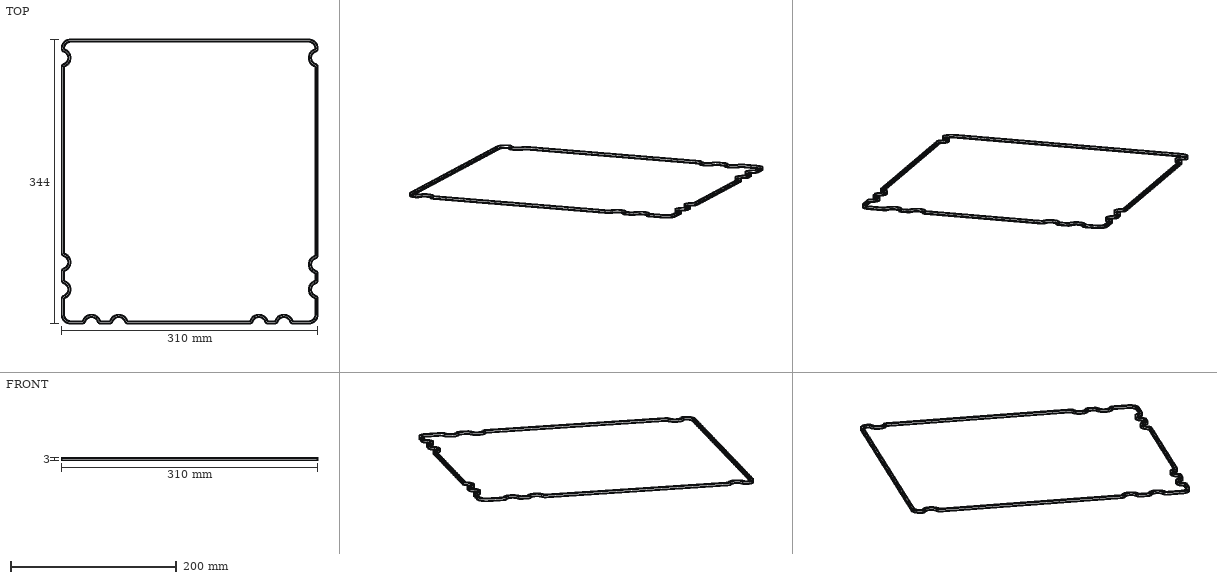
import cadquery as cq
import math

length_x = 310.0
length_y = 344.0
band = 3.0

corner_radius = 11.0
notch_radius = 8.0
mouth_radius = 4.0

top_notch = 22.5
bottom_notch = 41.3
front_left_notch = 36.0
front_right_notch = 41.0
left_pitch = 33.0
right_pitch = 30.3

mouth_half_width = math.sqrt((notch_radius + mouth_radius) ** 2 - mouth_radius**2)
join_share = notch_radius / (notch_radius + mouth_radius)
join_offset = mouth_half_width * join_share
join_depth = mouth_radius * join_share

lip_half_angle = math.acos(mouth_radius / (notch_radius + mouth_radius)) / 2
lip_offset = mouth_half_width - mouth_radius * math.sin(lip_half_angle)
lip_depth = mouth_radius * (1 - math.cos(lip_half_angle))

corner_inset = corner_radius * (1 - math.sqrt(0.5))


def add_side(outline, start, direction, side_length, notch_centres):
    """Draw one side counter-clockwise, with its notches and the corner that ends it."""
    dx, dy = direction

    def place(along, depth):
        return (start[0] + along * dx - depth * dy, start[1] + along * dy + depth * dx)

    for centre in notch_centres:
        outline = (
            outline.lineTo(*place(centre - mouth_half_width, 0))
            .threePointArc(place(centre - lip_offset, lip_depth), place(centre - join_offset, join_depth))
            .threePointArc(place(centre, notch_radius), place(centre + join_offset, join_depth))
            .threePointArc(place(centre + lip_offset, lip_depth), place(centre + mouth_half_width, 0))
        )
    return outline.lineTo(*place(side_length - corner_radius, 0)).threePointArc(
        place(side_length - corner_inset, corner_inset), place(side_length, corner_radius)
    )


front_notches = [
    front_left_notch,
    front_left_notch + left_pitch,
    length_x - front_right_notch - right_pitch,
    length_x - front_right_notch,
]
right_notches = [bottom_notch, bottom_notch + right_pitch, length_y - top_notch]
left_notches = [top_notch, length_y - bottom_notch - left_pitch, length_y - bottom_notch]

half_x = length_x / 2
half_y = length_y / 2

outline = cq.Workplane("XY").moveTo(corner_radius - half_x, -half_y)
outline = add_side(outline, (-half_x, -half_y), (1, 0), length_x, front_notches)
outline = add_side(outline, (half_x, -half_y), (0, 1), length_y, right_notches)
outline = add_side(outline, (half_x, half_y), (-1, 0), length_x, [])
outline = add_side(outline, (-half_x, half_y), (0, -1), length_y, left_notches)
outer_wire = outline.close().val()

inner_wire = outer_wire.offset2D(-band)[0]
profile = cq.Workplane("XY").add([outer_wire, inner_wire]).toPending()
result = profile.extrude(band)